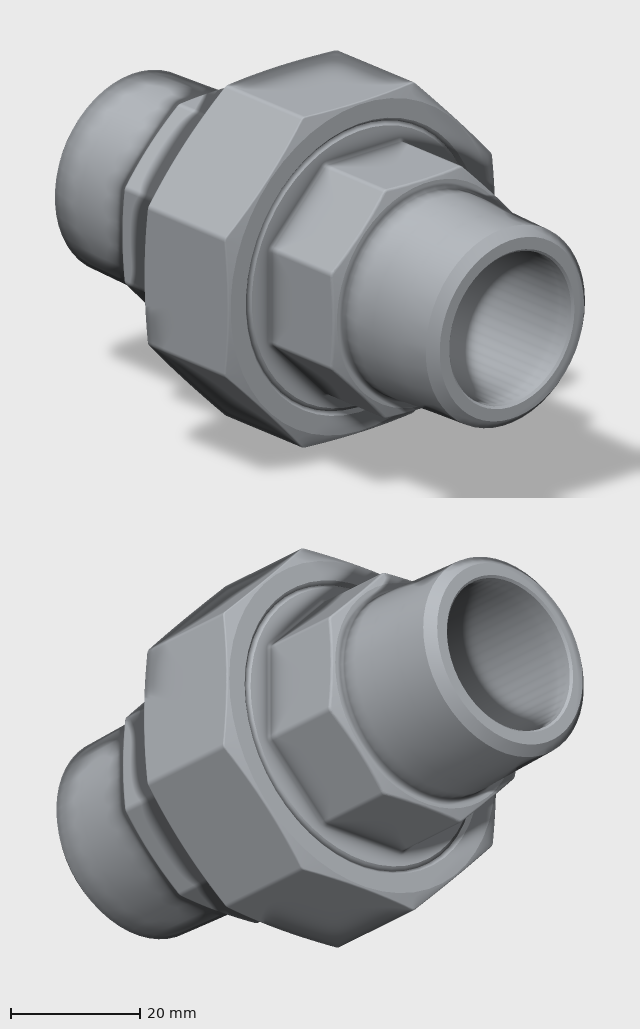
import cadquery as cq
import math

OVERALL_LENGTH = 90.0
BORE_DIAMETER = 25.0
BORE_CHAMFER = 0.4

NUT_ACROSS_FLATS = 55.0
NUT_WIDTH = 20.0
NUT_BEVEL_DIAMETER = 54.3
NUT_BEVEL_ANGLE = 20.0
NUT_BEVEL_RADIUS = 0.3
NUT_MOUTH_DIAMETER = 48.0

GRIP_ACROSS_FLATS = 38.0
GRIP_END_X = 25.0
GRIP_BEVEL_DIAMETER = 36.9
GRIP_BEVEL_ANGLE = 20.0
GRIP_BEVEL_RADIUS = 0.45
FLANGE_DIAMETER = 46.8
FLANGE_RIM_DIAMETER = 45.5
PIPE_ROOT_DIAMETER = 34.0
PIPE_TIP_DIAMETER = 32.8
PIPE_FACE_DIAMETER = 29.7

OCTAGON_SIDES = 8
HALF_SIDE_ANGLE = 180.0 / OCTAGON_SIDES
CORNER_RADIUS = 1.1
ROOT_RADIUS = 0.495

SELECT_MARGIN = 0.1
TIP_X = OVERALL_LENGTH / 2
FLANGE_FACE_X = NUT_WIDTH / 2
PIPE_TIP_CHAMFER = (PIPE_TIP_DIAMETER - PIPE_FACE_DIAMETER) / 2
MOUTH_CHAMFER = (NUT_MOUTH_DIAMETER - FLANGE_DIAMETER) / 2
RIM_CHAMFER = (FLANGE_DIAMETER - FLANGE_RIM_DIAMETER) / 2


def revolve_about_x(points):
    """Solid of revolution from (x, radius) points."""
    return cq.Workplane("XY").polyline(points).close().revolve(360, (0, 0, 0), (1, 0, 0))


def octagon_bar(across_flats, start_x, length):
    """Octagonal bar along X with flats facing Y and Z and rounded long edges."""
    corner_diameter = across_flats / math.cos(math.radians(HALF_SIDE_ANGLE))
    return (
        cq.Workplane("YZ", origin=(start_x, 0, 0))
        .transformed(rotate=(0, 0, HALF_SIDE_ANGLE))
        .polygon(OCTAGON_SIDES, corner_diameter)
        .extrude(length)
        .edges("|X")
        .fillet(CORNER_RADIUS)
    )


def bevel_envelope(across_flats, bevel_diameter, bevel_angle, start_x, end_x):
    """Round blank whose +X end is a cone; it bevels the corners of an octagon bar."""
    face_radius = bevel_diameter / 2
    outer_radius = across_flats
    cone_length = (outer_radius - face_radius) * math.tan(math.radians(bevel_angle))
    return revolve_about_x([
        (start_x, 0),
        (end_x, 0),
        (end_x, face_radius),
        (end_x - cone_length, outer_radius),
        (start_x, outer_radius),
    ])


def soften_bevel(octagon, radius):
    """Round the curved edges where the conical bevels meet the sides of an octagon."""
    return octagon.faces("%CONE").edges("(not %CIRCLE) and (not %LINE)").fillet(radius)


def mirrored(body):
    """Copy of a body reflected to the opposite side of the YZ plane."""
    return body.mirror("YZ")


def make_nut():
    """Octagonal nut, bevelled at both faces, bored to hold the two flanges."""
    half_width = NUT_WIDTH / 2
    blank = bevel_envelope(
        NUT_ACROSS_FLATS, NUT_BEVEL_DIAMETER, NUT_BEVEL_ANGLE, -half_width, half_width
    )
    bore = cq.Workplane("YZ").circle(FLANGE_DIAMETER / 2).extrude(half_width, both=True)
    nut = octagon_bar(NUT_ACROSS_FLATS, -half_width, NUT_WIDTH)
    nut = nut.intersect(blank).intersect(mirrored(blank))
    nut = soften_bevel(nut, NUT_BEVEL_RADIUS).cut(bore)
    return nut.edges(cq.selectors.RadiusNthSelector(0)).chamfer(MOUTH_CHAMFER)


def make_grip():
    """Octagonal wrench grip with its outer corners bevelled."""
    grip_length = GRIP_END_X - FLANGE_FACE_X
    blank = bevel_envelope(
        GRIP_ACROSS_FLATS, GRIP_BEVEL_DIAMETER, GRIP_BEVEL_ANGLE, FLANGE_FACE_X, GRIP_END_X
    )
    grip = octagon_bar(GRIP_ACROSS_FLATS, FLANGE_FACE_X, grip_length).intersect(blank)
    return soften_bevel(grip, GRIP_BEVEL_RADIUS)


def make_pipe_end():
    """Tapered pipe end with a chamfered tip."""
    return revolve_about_x([
        (GRIP_END_X, 0),
        (GRIP_END_X, PIPE_ROOT_DIAMETER / 2),
        (TIP_X - PIPE_TIP_CHAMFER, PIPE_TIP_DIAMETER / 2),
        (TIP_X, PIPE_FACE_DIAMETER / 2),
        (TIP_X, 0),
    ])


def fillet_inner_outline(body, shoulder_x):
    """Fillet the root where a narrower section rises from the flat shoulder at shoulder_x."""
    shoulder = body.faces("|X").faces(cq.selectors.BoxSelector(
        (shoulder_x - SELECT_MARGIN, -TIP_X, -TIP_X), (shoulder_x + SELECT_MARGIN, TIP_X, TIP_X)
    )).val()
    return body.newObject(shoulder.innerWires()[0].Edges()).fillet(ROOT_RADIUS)


def make_tailpiece():
    """Tailpiece on the +X side: flange, grip and pipe end around one bore."""
    flange = (
        cq.Workplane("YZ")
        .circle(FLANGE_DIAMETER / 2)
        .extrude(FLANGE_FACE_X)
        .faces(">X")
        .chamfer(RIM_CHAMFER)
    )
    flange_and_grip = fillet_inner_outline(flange.union(make_grip()), FLANGE_FACE_X)
    tailpiece = fillet_inner_outline(flange_and_grip.union(make_pipe_end()), GRIP_END_X)
    bore = cq.Workplane("YZ").circle(BORE_DIAMETER / 2).extrude(TIP_X)
    tailpiece = tailpiece.cut(bore)
    return tailpiece.faces(">X").edges(cq.selectors.RadiusNthSelector(0)).chamfer(BORE_CHAMFER)


nut = make_nut()
tailpieces = []
for faces_minus_x in (False, True):
    tailpiece = make_tailpiece()
    tailpieces.append(mirrored(tailpiece) if faces_minus_x else tailpiece)

result = cq.Compound.makeCompound([nut.val(), *[piece.val() for piece in tailpieces]])